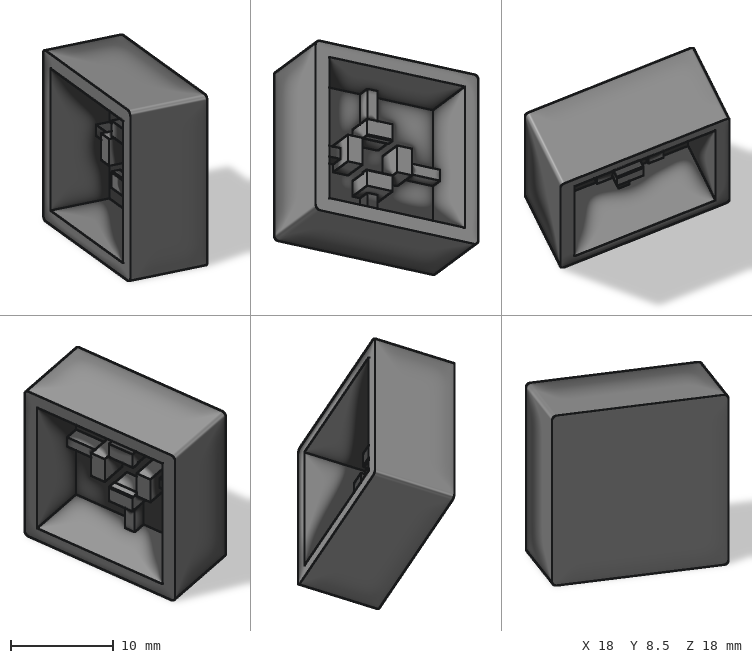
import cadquery as cq

side = 18.0
depth = 8.5
corner_radius = 0.5
wall = 1.51
floor_thickness = 2.0

block_inner = 1.9
block_outer = 3.55
block_width = 2.83
block_height = 3.0
rib_width = 1.15
rib_height = 1.5

ridge_rise = 0.1
ridge_length = 1.0

cavity_side = side - 2 * wall
floor_y = depth / 2 - floor_thickness


def floor_pad(inner, outer, width, height):
    """Box standing on the cavity floor, between two distances from the centre along +X."""
    return cq.Workplane("XY").box(
        outer - inner, height, width, centered=(False, False, True)
    ).translate((inner, floor_y - height, 0))


def make_housing():
    shell = cq.Workplane("XY").box(side, depth, side).edges("|Y").fillet(corner_radius)
    cavity = cq.Workplane("XY").box(
        cavity_side, depth - floor_thickness, cavity_side, centered=(True, False, True)
    ).translate((0, -depth / 2, 0))
    return shell.cut(cavity)


def make_ridge():
    """Trapezoidal ridge across a block's inner face, starting at the block's open end."""
    start_y = floor_y - block_height
    end_y = start_y + ridge_length
    crest_x = block_inner - ridge_rise
    profile = cq.Workplane("XY").polyline(
        [
            (block_inner, start_y),
            (crest_x, start_y + ridge_rise),
            (crest_x, end_y - ridge_rise),
            (block_inner, end_y),
        ]
    ).close()
    return profile.extrude(block_width / 2, both=True)


def make_arm():
    block = floor_pad(block_inner, block_outer, block_width, block_height)
    rib = floor_pad(block_outer, cavity_side / 2, rib_width, rib_height)
    return block.union(rib)


result = make_housing()
for angle in (0, 90, 180, 270):
    result = result.union(make_arm().rotate((0, 0, 0), (0, 1, 0), angle))
for angle in (90, 270):
    result = result.union(make_ridge().rotate((0, 0, 0), (0, 1, 0), angle))